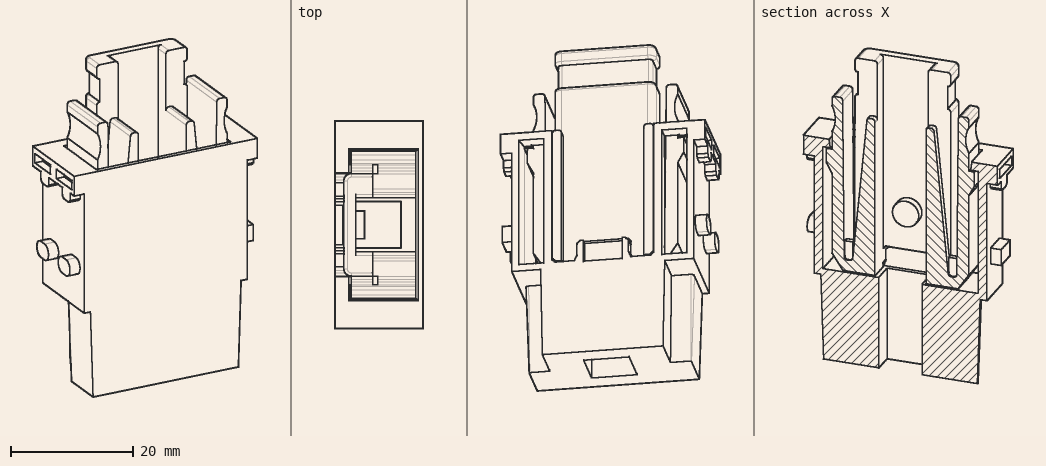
import cadquery as cq
import math

SIDES = (-1, 1)

HOUSING_DEPTH = 14.5
HOUSING_TOP = 39.95
SHELL_BOTTOM = 15.25
SHELL_HALF_WIDTH = 15.15
FLANGE_HALF_WIDTH = 17.0
FLANGE_BOTTOM = 36.4
OVERHANG = FLANGE_HALF_WIDTH - SHELL_HALF_WIDTH

BASE_FRONT_Y = 10.3
BASE_STEP_X = 6.3
BASE_REAR_Y = 14.0
BASE_CORNER_X = 0.65
BASE_CORNER_Y = 0.5

FOOT_FRONT_Y = 10.05
FOOT_STEP_X = 6.85
FOOT_REAR_Y = 13.5
FOOT_CORNER = 0.1

ARC_MID = 1 - math.sqrt(0.5)

CAVITY_X_MIN = 2.7
CAVITY_X_MAX = 13.3
CAVITY_FLOOR = 16.4
CAVITY_ROOF = 38.35
CAVITY_HALF_WIDTH = 13.55
GUIDE_HALF_WIDTH = 12.05
MOUTH_FLARE = 0.4
MOUTH_BOTTOM = 36.95
WINDOW_Y_MIN = 9.8
WINDOW_Y_MAX = 14.0
WINDOW_TOP = 38.6

WIRE_HOLE_X_MIN = 3.45
WIRE_HOLE_X_MAX = 10.8
WIRE_HOLE_HALF_WIDTH = 3.8

TAB_HALF_WIDTH = 4.3
TAB_TOP = 19.9
TAB_CORNER = 0.5
TAB_FLARE = 0.45
TAB_FLARE_HEIGHT = 1.0
TAB_POCKET_HALF_WIDTH = 3.25
TAB_POCKET_DEPTH = 1.3
TAB_POCKET_FLOOR = 16.2

FEATURE_PITCH = 7.45
SLOT_X = 3.5
SLOT_LENGTH = 5.4
SLOT_BOTTOM = 37.25
SLOT_TOP = 38.9
SLOT_DEPTH = 1.5
LUG_X = 4.2
LUG_LENGTH = 2.85
LUG_BOTTOM = 34.6
LUG_CORNER = 0.5
PEG_X = 3.5
PEG_LENGTH = 4.1
PEG_HEIGHT = 2.85
PEG_Z = 22.65

SLIDER_TOP = 54.85
SLIDER_BOTTOM = 16.55
SLIDER_HALF_WIDTH = 8.4
SLIDER_X_MIN = 1.5
SLIDER_X_MAX = 6.2
CHANNEL_X_MIN = 3.45
CHANNEL_HALF_WIDTH = 4.45
CORNER_RADIUS = 1.2
EDGE_RADIUS = 0.55
NECK_BOTTOM = 48.25
NECK_TOP = 52.3
NECK_INSET = EDGE_RADIUS

RAIL_WIDTH = 1.55
SIDE_GAP = 0.1
TAB_SIDE_GAP = 0.15
TAB_TOP_GAP = 0.45

ARM_X_MIN = CAVITY_X_MIN
ARM_X_MAX = CAVITY_X_MAX
ARM_INNER_Y = 9.8
ARM_TIP_INNER_Y = 10.1
ARM_OUTER_Y = 12.0
ARM_TOP = 47.85
ARM_HEEL_Z = 19.4
BARB_Y = 13.0
BARB_RAMP_BOTTOM = 33.8
BARB_RAMP_TOP = 35.6
BARB_TOP = 38.25
GRIP_BOTTOM = 41.4
GRIP_TOP = 46.0
GRIP_DEPTH = 0.55
BRIDGE_TOP = 18.65
BRIDGE_RADIUS = 0.5
RIB_THICKNESS = 0.9
RIB_TOP = 21.95

WING_TOP = 44.85
WING_TOP_OUTER_Y = 5.85

BOSS_RADIUS = 2.3
BOSS_LENGTH = 1.4
BOSS_Z = 27.4


def block(x_min, x_max, y_min, y_max, z_min, z_max):
    """Box between the given limits."""
    size = (x_max - x_min, y_max - y_min, z_max - z_min)
    return cq.Workplane("XY").box(*size, centered=False).translate((x_min, y_min, z_min))


def side_block(side, x_min, x_max, y_inner, y_outer, z_min, z_max):
    """Box on the +Y or -Y side, given by its distances from the middle plane."""
    y_min, y_max = sorted((side * y_inner, side * y_outer))
    return block(x_min, x_max, y_min, y_max, z_min, z_max)


def on_side(shape, side):
    """A shape drawn on the +Y side, mirrored when the -Y side is wanted."""
    if side > 0:
        return shape
    return shape.mirror("XZ")


def yz_prism(points, x_min, x_max):
    """Prism along X over a closed (Y, Z) outline."""
    outline = cq.Workplane("YZ", origin=(x_min, 0, 0)).polyline(points).close()
    return outline.extrude(x_max - x_min)


def tab_prism(side_gap, top_gap, x_max):
    """Flared tab at the foot of the slider opening, grown by the given gaps."""
    half = TAB_HALF_WIDTH + side_gap
    top = TAB_TOP + top_gap
    right = [
        (half + TAB_FLARE, CAVITY_FLOOR),
        (half, CAVITY_FLOOR + TAB_FLARE_HEIGHT),
        (half, top - TAB_CORNER),
        (half - TAB_CORNER, top),
    ]
    left = [(-y, z) for y, z in reversed(right)]
    return yz_prism(right + left, 0, x_max)


def base_outline(workplane, front_y, step_x, rear_y, corner_x, corner_y):
    """Stepped base section: narrow front, wide rear, rounded corners corner_x by corner_y."""
    corner_start = (step_x, rear_y - corner_y)
    corner_end = (step_x + corner_x, rear_y)
    corner_mid = (step_x + corner_x * ARC_MID, rear_y - corner_y * ARC_MID)
    return (
        workplane.moveTo(0, front_y)
        .lineTo(step_x, front_y)
        .lineTo(*corner_start)
        .threePointArc(corner_mid, corner_end)
        .lineTo(HOUSING_DEPTH, rear_y)
        .lineTo(HOUSING_DEPTH, -rear_y)
        .lineTo(corner_end[0], -corner_end[1])
        .threePointArc((corner_mid[0], -corner_mid[1]), (corner_start[0], -corner_start[1]))
        .lineTo(step_x, -front_y)
        .lineTo(0, -front_y)
        .close()
    )


def housing_base():
    """Drafted base; its rear corners are sharper at the lower end than at the shell."""
    lower = base_outline(
        cq.Workplane("XY"), FOOT_FRONT_Y, FOOT_STEP_X, FOOT_REAR_Y, FOOT_CORNER, FOOT_CORNER
    )
    upper_plane = lower.workplane(offset=SHELL_BOTTOM)
    upper = base_outline(
        upper_plane, BASE_FRONT_Y, BASE_STEP_X, BASE_REAR_Y, BASE_CORNER_X, BASE_CORNER_Y
    )
    return upper.loft(ruled=True)


def cavity_mouth():
    """Straight guide for the arms, flaring out toward the housing top."""
    center_x = (CAVITY_X_MIN + CAVITY_X_MAX) / 2
    length = CAVITY_X_MAX - CAVITY_X_MIN
    guide = block(
        CAVITY_X_MIN, CAVITY_X_MAX, -GUIDE_HALF_WIDTH, GUIDE_HALF_WIDTH, CAVITY_FLOOR, MOUTH_BOTTOM
    )
    flare = (
        cq.Workplane("XY", origin=(center_x, 0, MOUTH_BOTTOM))
        .rect(length, 2 * GUIDE_HALF_WIDTH)
        .workplane(offset=HOUSING_TOP - MOUTH_BOTTOM)
        .rect(length + 2 * MOUTH_FLARE, 2 * (GUIDE_HALF_WIDTH + MOUTH_FLARE))
        .loft(ruled=True)
    )
    return guide.union(flare)


def arm_window(side):
    """Window in the front wall whose outer side runs in to meet the cavity wall."""
    outline = [
        (0, WINDOW_Y_MIN),
        (0, WINDOW_Y_MAX),
        (CAVITY_X_MIN, CAVITY_HALF_WIDTH),
        (CAVITY_X_MIN, WINDOW_Y_MIN),
    ]
    window = cq.Workplane("XY", origin=(0, 0, CAVITY_FLOOR)).polyline(outline).close()
    return on_side(window.extrude(WINDOW_TOP - CAVITY_FLOOR), side)


def slider_opening():
    """Opening in the front wall, open at the top, with bevelled lower corners."""
    half = SLIDER_HALF_WIDTH + SIDE_GAP
    opening = block(0, CAVITY_X_MIN, -half, half, CAVITY_FLOOR, HOUSING_TOP)
    opening = opening.edges("|X and <Z").chamfer(EDGE_RADIUS)
    return opening.cut(tab_prism(0, 0, CAVITY_X_MIN))


def lug(x_center, side):
    """Lug below the flange, with bevelled lower corners."""
    x_min = x_center - LUG_LENGTH / 2
    x_max = x_center + LUG_LENGTH / 2
    body = side_block(side, x_min, x_max, SHELL_HALF_WIDTH, FLANGE_HALF_WIDTH, LUG_BOTTOM, FLANGE_BOTTOM)
    return body.edges("|Y and <Z").chamfer(LUG_CORNER)


def peg(x_center, side):
    """Peg on a side wall: round-ended on the -Y side, square-ended on the +Y side."""
    start = cq.Workplane("XZ", origin=(x_center, side * SHELL_HALF_WIDTH, PEG_Z))
    if side < 0:
        return start.slot2D(PEG_LENGTH, PEG_HEIGHT).extrude(OVERHANG)
    return start.rect(PEG_LENGTH, PEG_HEIGHT).extrude(-OVERHANG)


def make_housing():
    body = block(0, HOUSING_DEPTH, -SHELL_HALF_WIDTH, SHELL_HALF_WIDTH, SHELL_BOTTOM, HOUSING_TOP)
    flange = block(0, HOUSING_DEPTH, -FLANGE_HALF_WIDTH, FLANGE_HALF_WIDTH, FLANGE_BOTTOM, HOUSING_TOP)
    body = body.union(flange).union(housing_base())

    body = body.cut(
        block(CAVITY_X_MIN, CAVITY_X_MAX, -CAVITY_HALF_WIDTH, CAVITY_HALF_WIDTH, CAVITY_FLOOR, CAVITY_ROOF)
    )
    body = body.cut(cavity_mouth())
    body = body.cut(
        block(
            WIRE_HOLE_X_MIN, WIRE_HOLE_X_MAX, -WIRE_HOLE_HALF_WIDTH, WIRE_HOLE_HALF_WIDTH, 0, CAVITY_FLOOR
        )
    )

    body = body.cut(slider_opening())
    body = body.cut(
        block(
            0, TAB_POCKET_DEPTH, -TAB_POCKET_HALF_WIDTH, TAB_POCKET_HALF_WIDTH, TAB_POCKET_FLOOR, TAB_TOP
        )
    )

    for side in SIDES:
        body = body.cut(arm_window(side))
        for shift in (0, FEATURE_PITCH):
            slot_x = SLOT_X + shift - SLOT_LENGTH / 2
            slot_y = FLANGE_HALF_WIDTH - SLOT_DEPTH
            body = body.cut(
                side_block(
                    side, slot_x, slot_x + SLOT_LENGTH, slot_y, FLANGE_HALF_WIDTH, SLOT_BOTTOM, SLOT_TOP
                )
            )
            body = body.union(lug(LUG_X + shift, side)).union(peg(PEG_X + shift, side))
    return body


def rounded_section(inset, z_min, z_max, rounded_faces):
    """Length of the slider column with rounded outer corners and outer rims."""
    half = SLIDER_HALF_WIDTH - inset
    x_extended = SLIDER_X_MAX + 2 * CORNER_RADIUS
    section = block(SLIDER_X_MIN + inset, x_extended, -half, half, z_min, z_max)
    section = section.edges("|Z and <X").fillet(CORNER_RADIUS - inset)
    for face in rounded_faces:
        section = section.faces(face).edges("not >X").fillet(EDGE_RADIUS)
    return section.intersect(block(0, SLIDER_X_MAX, -half, half, z_min, z_max))


def slider_column():
    """U-shaped column with a grip cap above a recessed neck."""
    column = rounded_section(0, SLIDER_BOTTOM, NECK_BOTTOM, (">Z",))
    column = column.union(rounded_section(NECK_INSET, NECK_BOTTOM, NECK_TOP, ()))
    column = column.union(rounded_section(0, NECK_TOP, SLIDER_TOP, (">Z", "<Z")))
    channel = block(
        CHANNEL_X_MIN, SLIDER_X_MAX, -CHANNEL_HALF_WIDTH, CHANNEL_HALF_WIDTH, SLIDER_BOTTOM, SLIDER_TOP
    )
    column = column.cut(channel)
    rim = cq.selectors.BoxSelector(
        (CHANNEL_X_MIN, -CHANNEL_HALF_WIDTH - EDGE_RADIUS / 2, SLIDER_TOP - EDGE_RADIUS),
        (SLIDER_X_MAX, CHANNEL_HALF_WIDTH + EDGE_RADIUS / 2, SLIDER_TOP + EDGE_RADIUS),
    )
    return column.edges(rim).edges("|X").fillet(EDGE_RADIUS)


def rail(side):
    """Guide rail at a column corner, with a rounded top."""
    inner = SLIDER_HALF_WIDTH - RAIL_WIDTH
    body = side_block(side, 0, ARM_X_MIN, inner, SLIDER_HALF_WIDTH, SLIDER_BOTTOM, HOUSING_TOP)
    return body.edges("|X and >Z").fillet(EDGE_RADIUS)


def spring_arm(side):
    """Latching arm with grip hollow and barb, joined to the column by a bridge at its foot."""
    profile = (
        cq.Workplane("YZ", origin=(ARM_X_MIN, 0, 0))
        .moveTo(SLIDER_HALF_WIDTH, SLIDER_BOTTOM)
        .lineTo(ARM_TIP_INNER_Y, SLIDER_BOTTOM)
        .lineTo(ARM_OUTER_Y, ARM_HEEL_Z)
        .lineTo(ARM_OUTER_Y, BARB_RAMP_BOTTOM)
        .lineTo(BARB_Y, BARB_RAMP_TOP)
        .lineTo(BARB_Y, BARB_TOP)
        .lineTo(ARM_OUTER_Y, BARB_TOP)
        .lineTo(ARM_OUTER_Y, GRIP_BOTTOM)
        .threePointArc((ARM_OUTER_Y - GRIP_DEPTH, (GRIP_BOTTOM + GRIP_TOP) / 2), (ARM_OUTER_Y, GRIP_TOP))
        .lineTo(ARM_OUTER_Y, ARM_TOP)
        .lineTo(ARM_TIP_INNER_Y, ARM_TOP)
        .lineTo(ARM_INNER_Y, BRIDGE_TOP + BRIDGE_RADIUS)
        .radiusArc((ARM_INNER_Y - BRIDGE_RADIUS, BRIDGE_TOP), BRIDGE_RADIUS)
        .lineTo(SLIDER_HALF_WIDTH + BRIDGE_RADIUS, BRIDGE_TOP)
        .radiusArc((SLIDER_HALF_WIDTH, BRIDGE_TOP + BRIDGE_RADIUS), BRIDGE_RADIUS)
        .close()
    )
    arm = profile.extrude(ARM_X_MAX - ARM_X_MIN)
    arm = arm.edges("|X and >Z").fillet(EDGE_RADIUS)
    rib = block(
        SLIDER_X_MAX, SLIDER_X_MAX + RIB_THICKNESS, SLIDER_HALF_WIDTH, ARM_INNER_Y, SLIDER_BOTTOM, RIB_TOP
    )
    return on_side(arm.union(rib), side)


def wing(side):
    """Tapered plate continuing the column leg toward +X, thinner at its rounded top."""
    outline = [
        (CHANNEL_HALF_WIDTH, SLIDER_BOTTOM),
        (SLIDER_HALF_WIDTH, SLIDER_BOTTOM),
        (SLIDER_HALF_WIDTH, BRIDGE_TOP + BRIDGE_RADIUS),
        (WING_TOP_OUTER_Y, WING_TOP),
        (CHANNEL_HALF_WIDTH, WING_TOP),
    ]
    plate = yz_prism(outline, SLIDER_X_MAX, ARM_X_MAX)
    return on_side(plate.edges("|X and >Z").fillet(EDGE_RADIUS), side)


def lower_corner_bevel(side):
    """Wedge that bevels the lower outer corner of a rail."""
    outline = [
        (side * SLIDER_HALF_WIDTH, SLIDER_BOTTOM),
        (side * (SLIDER_HALF_WIDTH - EDGE_RADIUS), SLIDER_BOTTOM),
        (side * SLIDER_HALF_WIDTH, SLIDER_BOTTOM + EDGE_RADIUS),
    ]
    return yz_prism(outline, 0, ARM_X_MIN)


def make_slider():
    body = slider_column()
    for side in SIDES:
        body = body.union(rail(side)).union(wing(side)).union(spring_arm(side))
        body = body.cut(lower_corner_bevel(side))
    body = body.cut(tab_prism(TAB_SIDE_GAP, TAB_TOP_GAP, CHANNEL_X_MIN))
    boss = cq.Workplane("YZ", origin=(CHANNEL_X_MIN, 0, BOSS_Z)).circle(BOSS_RADIUS).extrude(BOSS_LENGTH)
    return body.union(boss)


housing = make_housing()
slider = make_slider()
result = cq.Compound.makeCompound([housing.val(), slider.val()])